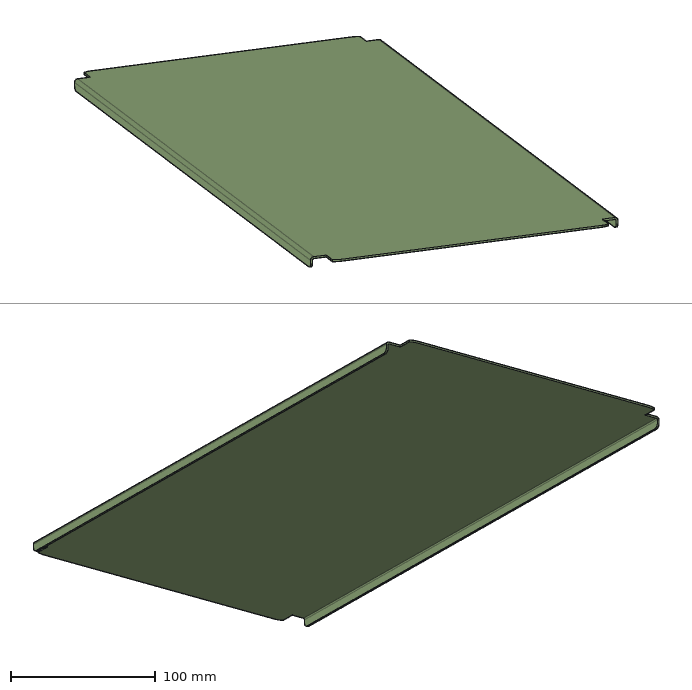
import cadquery as cq

length = 451.0
width = 230.5
height = 8.0
thickness = 1.5

inner_bend_radius = 1.0
outer_bend_radius = inner_bend_radius + thickness
notch_length = 12.5
notch_width = 11.5
end_arc_radius = 15.0
end_arc_span = 6.5
flange_corner_radius = 3.0

flange_length = length - 2 * notch_length


def make_panel():
    """Flat panel with arcs tangent to its ends, cut off square at the notches."""
    rounded_width = width - 2 * notch_width + 2 * (end_arc_radius - end_arc_span)
    rounded = cq.Workplane("XY").box(length, rounded_width, thickness)
    rounded = rounded.edges("|Z").fillet(end_arc_radius)
    trim = cq.Workplane("XY").box(length, width - 2 * notch_width, thickness)
    return rounded.intersect(trim).translate((0, 0, -thickness / 2))


def make_folded_strip():
    """Central channel section with rounded bends and rounded flange tips."""
    outside = cq.Workplane("XY").box(flange_length, width, height)
    outside = outside.edges("|X and >Z").fillet(outer_bend_radius)
    inside = cq.Workplane("XY").box(flange_length, width - 2 * thickness, height)
    inside = inside.edges("|X and >Z").fillet(inner_bend_radius)
    strip = outside.cut(inside.translate((0, 0, -thickness)))
    strip = strip.edges("|Y and <Z").fillet(flange_corner_radius)
    return strip.translate((0, 0, -height / 2))


result = make_panel().union(make_folded_strip())